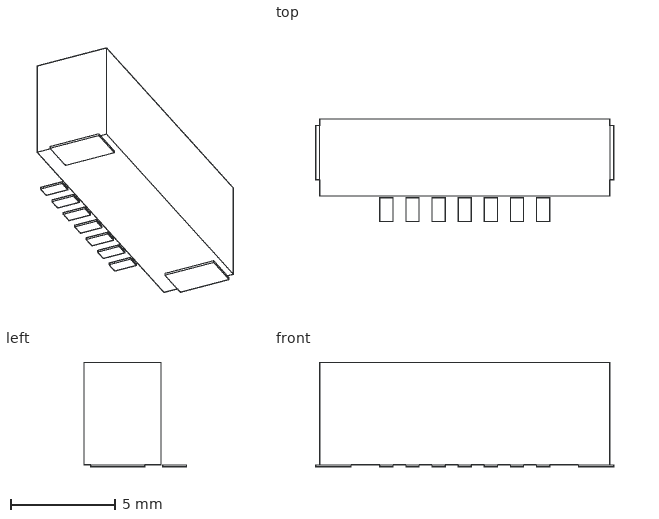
import cadquery as cq

body_length = 13.9
body_width = 3.7
overall_height = 5.0

pad_thickness = 0.1
body_height = overall_height - pad_thickness

contact_count = 7
contact_pitch = 1.25
contact_width = 0.64
contact_length = 1.15
contact_gap = 0.07

mount_span = 14.28
mount_length = 1.7
mount_width = 2.6
mount_back_inset = 0.32

body_front = -body_width / 2
body_back = body_width / 2


def make_body():
    """Plain block resting on top of the mounting pads."""
    return cq.Workplane("XY").workplane(offset=pad_thickness).rect(body_length, body_width).extrude(body_height)


def make_pad(x_size, y_size, x_center, y_center):
    """Flat rectangular pad with its underside on Z = 0."""
    return cq.Workplane("XY").center(x_center, y_center).rect(x_size, y_size).extrude(pad_thickness)


body = make_body()

contact_y = body_front - contact_gap - contact_length / 2
contact_pads = []
for index in range(contact_count):
    contact_x = (index - (contact_count - 1) / 2) * contact_pitch
    contact_pads.append(make_pad(contact_width, contact_length, contact_x, contact_y))

mount_x = (mount_span - mount_length) / 2
mount_y = body_back - mount_back_inset - mount_width / 2
mount_pads = []
for side in (-1, 1):
    mount_pads.append(make_pad(mount_length, mount_width, side * mount_x, mount_y))

result = cq.Compound.makeCompound(
    [
        body.val(),
        *[pad.val() for pad in contact_pads],
        *[pad.val() for pad in mount_pads],
    ]
)